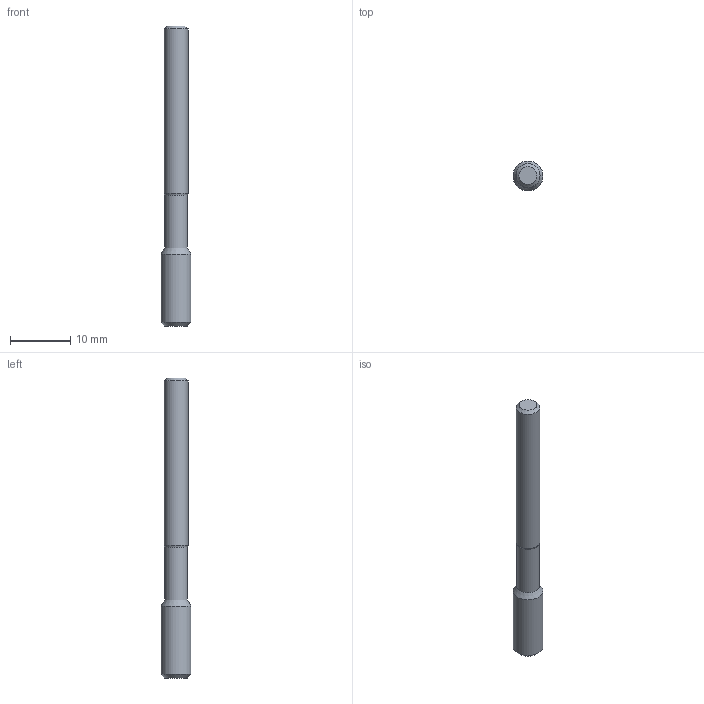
import cadquery as cq

total_length = 50.0
head_diameter = 4.97
neck_diameter = 3.8
shank_diameter = 4.0

head_top_z = 12.0
neck_bottom_z = 13.0
neck_top_z = 21.8
shank_bottom_z = 22.1

head_chamfer = 0.6
shank_chamfer = 0.5

head_radius = head_diameter / 2
neck_radius = neck_diameter / 2
shank_radius = shank_diameter / 2


def turned_pin():
    """Revolve the half profile (radius, height) about the Z axis."""
    profile = [
        (0, 0),
        (head_radius - head_chamfer, 0),
        (head_radius, head_chamfer),
        (head_radius, head_top_z),
        (neck_radius, neck_bottom_z),
        (neck_radius, neck_top_z),
        (shank_radius, shank_bottom_z),
        (shank_radius, total_length - shank_chamfer),
        (shank_radius - shank_chamfer, total_length),
        (0, total_length),
    ]
    axis_start = (0, 0)
    axis_end = (0, 1)
    return cq.Workplane("YZ").polyline(profile).close().revolve(360, axis_start, axis_end)


result = turned_pin()